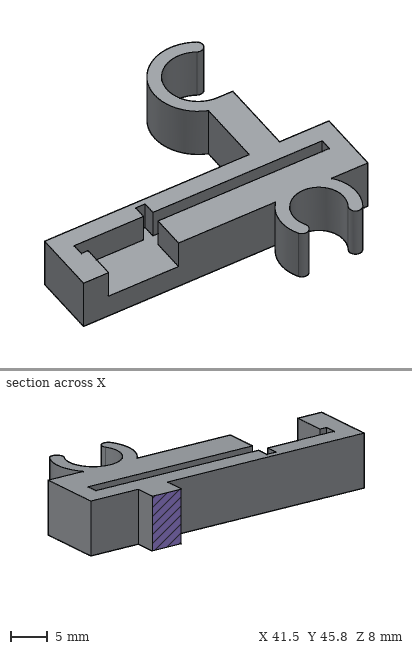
import cadquery as cq
import math

height = 8.0
body_width = 10.0
body_length = 45.75
clip_wall = 2.0

clip_line_y = 35.35
arm_width = 4.9
hook_inner_radius = 5.0
hook_center_x = -17.0
hook_tip_angle = 150
clip_inner_radius = 4.0
clip_center_x = body_width + clip_inner_radius
clip_tip_angle = 60

pocket_depth = 4.35
slot_margin = 2.95
slot_width = 1.85
window_start_y = 4.03
window_end_y = 15.3
notch_reach = 2.0
notch_start_y = 14.1
notch_width = 1.5


def block(x_min, x_max, y_min, y_max, z_min=0.0):
    """Box between the given limits, reaching up to the top face."""
    return cq.Workplane("XY").box(
        x_max - x_min, y_max - y_min, height - z_min, centered=False
    ).translate((x_min, y_min, z_min))


def disc(x, y, radius):
    return cq.Workplane("XY").center(x, y).circle(radius).extrude(height)


def open_clip(center_x, inner_radius, start_angle, end_angle, tip_angles):
    """Ring sector running counterclockwise, with round ends at the tip angles."""

    def at(radius, angle):
        turn = math.radians(angle)
        return (center_x + radius * math.cos(turn), clip_line_y + radius * math.sin(turn))

    outer_radius = inner_radius + clip_wall
    middle_angle = (start_angle + end_angle) / 2
    clip = (
        cq.Workplane("XY")
        .moveTo(*at(outer_radius, start_angle))
        .threePointArc(at(outer_radius, middle_angle), at(outer_radius, end_angle))
        .lineTo(*at(inner_radius, end_angle))
        .threePointArc(at(inner_radius, middle_angle), at(inner_radius, start_angle))
        .close()
        .extrude(height)
    )
    for angle in tip_angles:
        tip_x, tip_y = at(inner_radius + clip_wall / 2, angle)
        clip = clip.union(disc(tip_x, tip_y, clip_wall / 2))
    return clip


def pocket():
    floor_z = height - pocket_depth
    slot_end_x = slot_margin + slot_width
    slot = block(slot_margin, slot_end_x, slot_margin, body_length - slot_margin, floor_z)
    window = block(slot_margin, body_width, window_start_y, window_end_y, floor_z)
    notch = block(
        slot_margin - notch_reach, slot_end_x, notch_start_y, notch_start_y + notch_width, floor_z
    )
    return slot.union(window).union(notch)


body = block(0, body_width, 0, body_length)

arm = block(
    hook_center_x + hook_inner_radius, 0, clip_line_y - arm_width / 2, clip_line_y + arm_width / 2
).cut(disc(hook_center_x, clip_line_y, hook_inner_radius))

hook = open_clip(hook_center_x, hook_inner_radius, hook_tip_angle, 360, [hook_tip_angle])
side_clip = open_clip(
    clip_center_x,
    clip_inner_radius,
    clip_tip_angle,
    360 - clip_tip_angle,
    [clip_tip_angle, -clip_tip_angle],
)

result = body.union(arm).union(hook).union(side_clip).cut(pocket())